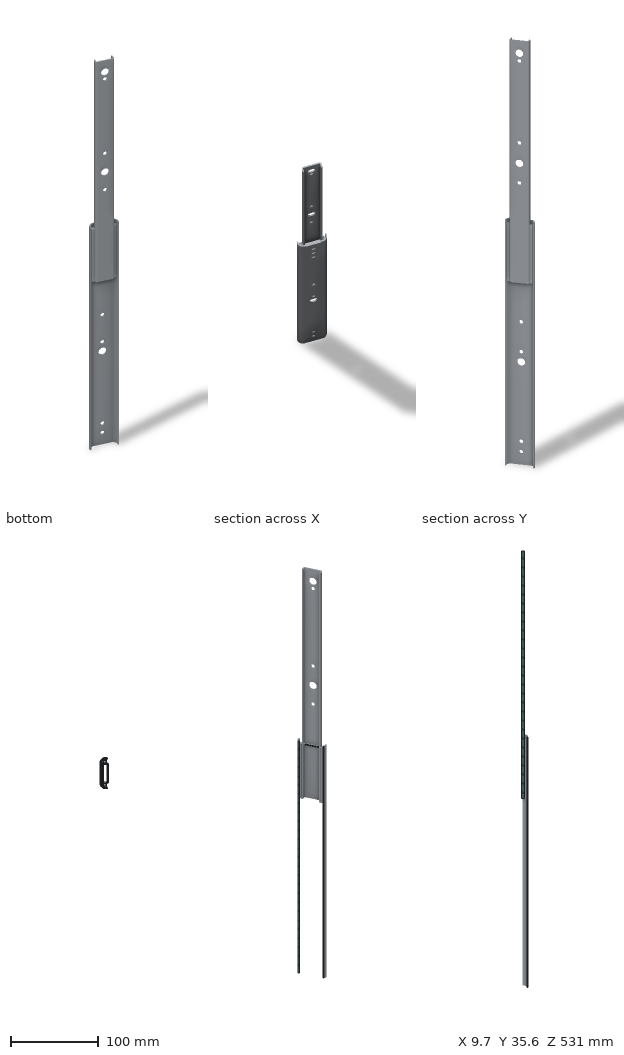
import cadquery as cq
import math


TOTAL_LENGTH = 531.0
FRONT_X = 4.85
BACK_X = -FRONT_X
BOTTOM_Z = -TOTAL_LENGTH / 2
TOP_Z = TOTAL_LENGTH / 2
SHEET = 1.5

OUTER_LENGTH = 305.0
OUTER_HALF_WIDTH = 17.8
OUTER_TOP_Z = BOTTOM_Z + OUTER_LENGTH
BEND_RADIUS = 5.0
RACE_X = 1.35
RACE_Y = OUTER_HALF_WIDTH - BEND_RADIUS
SLOPE_ANGLE = 45.0
LIP_ANGLE = 30.0

TAB_HALF_WIDTH = 9.3
TAB_LENGTH = 4.0
NOTCH_DEPTH = 2.0

INNER_LENGTH = 301.5
INNER_HALF_WIDTH = 11.5
INNER_BACK_X = -1.85
INNER_CORNER_RADIUS = 2.0
FLANGE_CHAMFER = 1.0
INNER_BOTTOM_Z = TOP_Z - INNER_LENGTH

RETAINER_SHEET = 1.0
RETAINER_CHAMFER = 1.5
RETAINER_STRIP_X = (-1.0, 2.4)
RETAINER_HALF_WIDTH = 15.0
RETAINER_TOP_Z = OUTER_TOP_Z - NOTCH_DEPTH - SHEET
RETAINER_BOTTOM_Z = INNER_BOTTOM_Z

SMALL_HOLE = 5.0
LARGE_HOLE = 9.5
OUTER_SMALL_FROM_BOTTOM = (16.0, 28.5, 140.0, 177.5)
OUTER_LARGE_FROM_BOTTOM = (127.5,)
OUTER_SMALL_FROM_TOP = (16.0, 28.5, 41.5)
INNER_SMALL_FROM_TOP = (25.5, 127.5, 177.5)
INNER_LARGE_FROM_TOP = (16.0, 153.0)


def extrude_symmetric(half_profile, length):
    """Extrude a profile drawn on the +Y side and join it to its mirror image."""
    half = half_profile.close().extrude(length)
    return half.union(half.mirror("XZ"))


def on_circle(center, radius, degrees):
    """Point on a circle, with the angle measured from +Y toward -X."""
    angle = math.radians(degrees)
    return (center[0] - radius * math.sin(angle), center[1] + radius * math.cos(angle))


def drill_web(rail, web_x, diameter, heights):
    """Drill holes along X through the web that starts at web_x."""
    points = [(0, z) for z in heights]
    web_plane = cq.Workplane("YZ", origin=(web_x, 0, 0))
    drills = web_plane.pushPoints(points).circle(diameter / 2).extrude(SHEET)
    return rail.cut(drills)


def outer_profile():
    """Web, web bend, sloped wall and ball race of the outer rail on the +Y side."""
    inner_radius = BEND_RADIUS - SHEET
    race = (RACE_X, RACE_Y)
    bend_x = BACK_X + BEND_RADIUS
    bend = (bend_x, RACE_Y - (RACE_X - bend_x) * math.tan(math.radians(SLOPE_ANGLE)))
    bend_middle = (90 + SLOPE_ANGLE) / 2
    race_middle = (SLOPE_ANGLE - LIP_ANGLE) / 2
    return (
        cq.Workplane("XY", origin=(0, 0, BOTTOM_Z))
        .moveTo(BACK_X, 0)
        .lineTo(*on_circle(bend, BEND_RADIUS, 90))
        .threePointArc(on_circle(bend, BEND_RADIUS, bend_middle), on_circle(bend, BEND_RADIUS, SLOPE_ANGLE))
        .lineTo(*on_circle(race, BEND_RADIUS, SLOPE_ANGLE))
        .threePointArc(on_circle(race, BEND_RADIUS, race_middle), on_circle(race, BEND_RADIUS, -LIP_ANGLE))
        .lineTo(*on_circle(race, inner_radius, -LIP_ANGLE))
        .threePointArc(on_circle(race, inner_radius, race_middle), on_circle(race, inner_radius, SLOPE_ANGLE))
        .lineTo(*on_circle(bend, inner_radius, SLOPE_ANGLE))
        .threePointArc(on_circle(bend, inner_radius, bend_middle), on_circle(bend, inner_radius, 90))
        .lineTo(BACK_X + SHEET, 0)
    )


def add_stop_tab(rail):
    """Notch the top of the outer web and bend the tab inward at the notch floor."""
    floor_z = OUTER_TOP_Z - NOTCH_DEPTH
    corner = cq.Workplane("XY", origin=(BACK_X, -TAB_HALF_WIDTH, floor_z))
    width = 2 * TAB_HALF_WIDTH
    notch = corner.rect(SHEET, width, centered=False).extrude(NOTCH_DEPTH)
    tab = corner.rect(TAB_LENGTH, width, centered=False).extrude(-SHEET)
    return rail.cut(notch).union(tab)


def make_outer_rail():
    """Outer rail with its stop tab and web holes."""
    rail = add_stop_tab(extrude_symmetric(outer_profile(), OUTER_LENGTH))
    small_heights = [BOTTOM_Z + d for d in OUTER_SMALL_FROM_BOTTOM]
    small_heights += [OUTER_TOP_Z - d for d in OUTER_SMALL_FROM_TOP]
    large_heights = [BOTTOM_Z + d for d in OUTER_LARGE_FROM_BOTTOM]
    rail = drill_web(rail, BACK_X, SMALL_HOLE, small_heights)
    return drill_web(rail, BACK_X, LARGE_HOLE, large_heights)


def make_inner_rail():
    """Channel with rounded web corners and chamfered flange ends, open toward -X."""
    wall_y = INNER_HALF_WIDTH - SHEET
    corner = (FRONT_X - INNER_CORNER_RADIUS, INNER_HALF_WIDTH - INNER_CORNER_RADIUS)
    profile = (
        cq.Workplane("XY", origin=(0, 0, INNER_BOTTOM_Z))
        .moveTo(FRONT_X, 0)
        .lineTo(FRONT_X, corner[1])
        .threePointArc(on_circle(corner, INNER_CORNER_RADIUS, -45), (corner[0], INNER_HALF_WIDTH))
        .lineTo(INNER_BACK_X + FLANGE_CHAMFER, INNER_HALF_WIDTH)
        .lineTo(INNER_BACK_X, INNER_HALF_WIDTH - FLANGE_CHAMFER)
        .lineTo(INNER_BACK_X, wall_y)
        .lineTo(FRONT_X - SHEET, wall_y)
        .lineTo(FRONT_X - SHEET, 0)
    )
    rail = extrude_symmetric(profile, INNER_LENGTH)
    web_x = FRONT_X - SHEET
    rail = drill_web(rail, web_x, SMALL_HOLE, [TOP_Z - d for d in INNER_SMALL_FROM_TOP])
    return drill_web(rail, web_x, LARGE_HOLE, [TOP_Z - d for d in INNER_LARGE_FROM_TOP])


def make_retainer():
    """Thin web against the outer rail, with a strip in each ball race."""
    back_x = BACK_X + SHEET
    strip_back, strip_front = RETAINER_STRIP_X
    web_front = back_x + RETAINER_SHEET
    inner_y = INNER_HALF_WIDTH
    step_y = inner_y + RETAINER_SHEET
    profile = (
        cq.Workplane("XY", origin=(0, 0, RETAINER_BOTTOM_Z))
        .moveTo(back_x, 0)
        .lineTo(back_x, step_y - RETAINER_CHAMFER)
        .lineTo(back_x + RETAINER_CHAMFER, step_y)
        .lineTo(strip_back, step_y)
        .lineTo(strip_back, RETAINER_HALF_WIDTH)
        .lineTo(strip_front, RETAINER_HALF_WIDTH)
        .lineTo(strip_front, inner_y)
        .lineTo(web_front, inner_y)
        .lineTo(web_front, 0)
    )
    return extrude_symmetric(profile, RETAINER_TOP_Z - RETAINER_BOTTOM_Z)


outer_rail = make_outer_rail()
inner_rail = make_inner_rail()
retainer = make_retainer()

result = cq.Compound.makeCompound([outer_rail.val(), inner_rail.val(), retainer.val()])